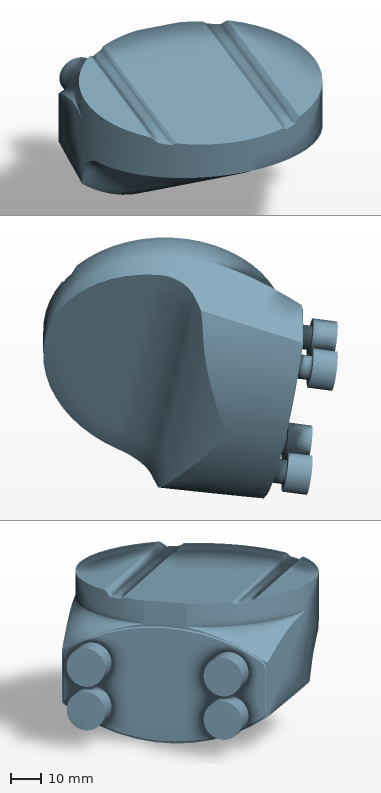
import cadquery as cq
import math

disc_radius = 40.02
disc_tip_z = 35.8
face_x = -39.37
tangent_x = -5.4
ledge_z = 39.93
total_height = 48.9
shoulder_drop_ratio = 0.81
belly_radius = 60.0
bend_radius = 14.8
heel = (-10.4, 0.0)
throat = (0.3, 29.0)
margin = 4.6

centre_z = 47.9
front_z = 48.6
groove_floor_z = 47.1
back_groove = (14.9, 16.1, 19.9, 22.1)
front_groove = (-21.3, -22.5, -26.4, -28.2)

pad_thickness = 0.6
pad_corner_radius = 3.7
pad_chamfer = 0.4
pad_inset = 0.4

overall_length = 92.3
end_x = disc_radius - overall_length
head_diameter = 13.0
head_length = 8.0
shank_diameter = 8.0
screw_y = 23.4
screw_heights = (12.5, 27.2)

tangent_y = math.sqrt(disc_radius**2 - tangent_x**2)
face_half_width = tangent_y + (tangent_x - face_x) * tangent_x / tangent_y


def shoulder_z(radius):
    return ledge_z - shoulder_drop_ratio * (radius - disc_radius)


def make_plan():
    """Tapered block merging tangentially into the disc."""
    return (
        cq.Workplane("XY")
        .moveTo(face_x, -face_half_width)
        .lineTo(tangent_x, -tangent_y)
        .threePointArc((disc_radius, 0), (tangent_x, tangent_y))
        .lineTo(face_x, face_half_width)
        .close()
        .extrude(total_height)
    )


def make_side_profile():
    """Profile in XZ with a heel bend and a throat bend, wide enough to trim the plan."""
    half_width = disc_radius + margin
    tip_slope = (disc_tip_z - throat[1]) / (disc_radius - throat[0])
    reach_x = disc_radius + margin
    reach_z = disc_tip_z + margin * tip_slope
    profile = (
        cq.Workplane("XZ", origin=(0, half_width, 0))
        .polyline([(face_x, 0), heel, throat, (reach_x, reach_z),
                   (reach_x, total_height), (face_x, total_height)])
        .close()
        .extrude(2 * half_width)
    )
    for corner in (heel, throat):
        edge = cq.selectors.NearestToPointSelector((corner[0], 0, corner[1]))
        profile = profile.edges("|Y").edges(edge).fillet(bend_radius)
    return profile


def make_belly():
    """Lying cylinder whose lower side rounds the underside."""
    return (
        cq.Workplane("YZ", origin=(face_x - margin, 0, 0))
        .center(0, belly_radius)
        .circle(belly_radius)
        .extrude(2 * disc_radius + 2 * margin)
    )


def make_shoulder_cut():
    """Ring outside the disc and above the conical shoulder."""
    outer_radius = math.hypot(face_x, face_half_width) + margin
    return (
        cq.Workplane("XZ")
        .polyline([(disc_radius, ledge_z), (outer_radius, shoulder_z(outer_radius)),
                   (outer_radius, total_height + margin), (disc_radius, total_height + margin)])
        .close()
        .revolve(360, (0, 0), (0, 1))
    )


def make_top_cut():
    """Everything above the stepped and grooved top surface."""
    reach_y = disc_radius + margin
    front_in, front_floor_in, front_floor_out, front_out = front_groove
    back_in, back_floor_in, back_floor_out, back_out = back_groove
    return (
        cq.Workplane("YZ", origin=(face_x - margin, 0, 0))
        .polyline([
            (-reach_y, front_z), (front_out, front_z),
            (front_floor_out, groove_floor_z), (front_floor_in, groove_floor_z),
            (front_in, centre_z), (back_in, centre_z),
            (back_floor_in, groove_floor_z), (back_floor_out, groove_floor_z),
            (back_out, total_height),
            (back_out, total_height + margin), (-reach_y, total_height + margin),
        ])
        .close()
        .extrude(2 * disc_radius + 2 * margin)
    )


def make_pad():
    """Thin raised pad following the face outline, with rounded corners."""
    low_z = belly_radius - math.sqrt(belly_radius**2 - face_half_width**2)
    high_z = shoulder_z(math.hypot(face_x, face_half_width))
    return (
        cq.Workplane("YZ", origin=(face_x, 0, 0))
        .moveTo(-face_half_width, low_z)
        .threePointArc((0, 0), (face_half_width, low_z))
        .lineTo(face_half_width, high_z)
        .threePointArc((0, ledge_z), (-face_half_width, high_z))
        .close()
        .offset2D(-pad_inset)
        .extrude(-pad_thickness)
        .edges("|X")
        .fillet(pad_corner_radius)
        .faces("<X")
        .chamfer(pad_chamfer)
    )


def make_screw(y, z):
    """Cap screw standing out of the mounting face."""
    head = cq.Workplane("YZ", origin=(end_x, y, z)).circle(head_diameter / 2).extrude(head_length)
    shank = cq.Workplane("YZ", origin=(end_x, y, z)).circle(shank_diameter / 2).extrude(face_x - end_x)
    return head.union(shank)


result = make_plan().intersect(make_side_profile()).intersect(make_belly())
result = result.cut(make_shoulder_cut()).cut(make_top_cut()).union(make_pad())
for side in (-1, 1):
    for height in screw_heights:
        result = result.union(make_screw(side * screw_y, height))